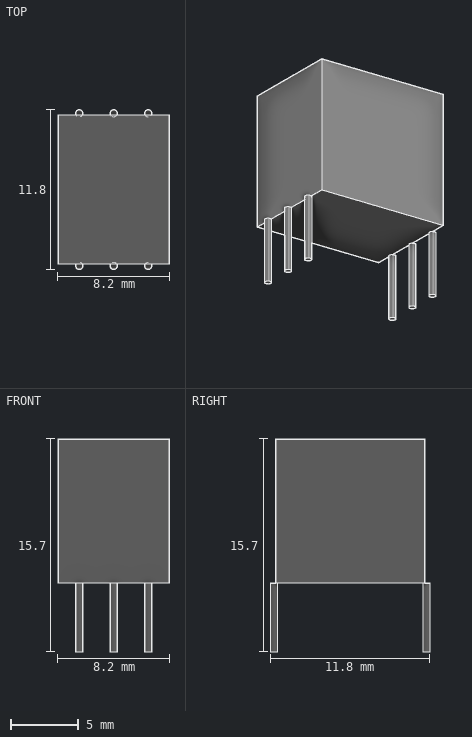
import cadquery as cq

HOUSING_X = 8.2
HOUSING_Y = 11.0
HOUSING_Z = 10.6

TOTAL_Y = 11.78
TOTAL_Z = 15.69
PIN_DIAMETER = 0.53
PIN_PITCH = 2.54
PINS_PER_ROW = 3
PIN_LENGTH = TOTAL_Z - HOUSING_Z
ROW_OFFSET = (TOTAL_Y - PIN_DIAMETER) / 2


def make_housing():
    """Rectangular housing centred on the Z axis."""
    return cq.Workplane("XY").box(HOUSING_X, HOUSING_Y, HOUSING_Z, centered=(True, True, False))


def make_pin(x, y):
    """Round pin whose flat top meets the underside plane of the housing."""
    return cq.Workplane("XY").center(x, y).circle(PIN_DIAMETER / 2).extrude(-PIN_LENGTH)


housing = make_housing()

pins = []
for row_y in (-ROW_OFFSET, ROW_OFFSET):
    for index in range(PINS_PER_ROW):
        pin_x = (index - (PINS_PER_ROW - 1) / 2) * PIN_PITCH
        pins.append(make_pin(pin_x, row_y))

result = cq.Compound.makeCompound([housing.val(), *[pin.val() for pin in pins]])